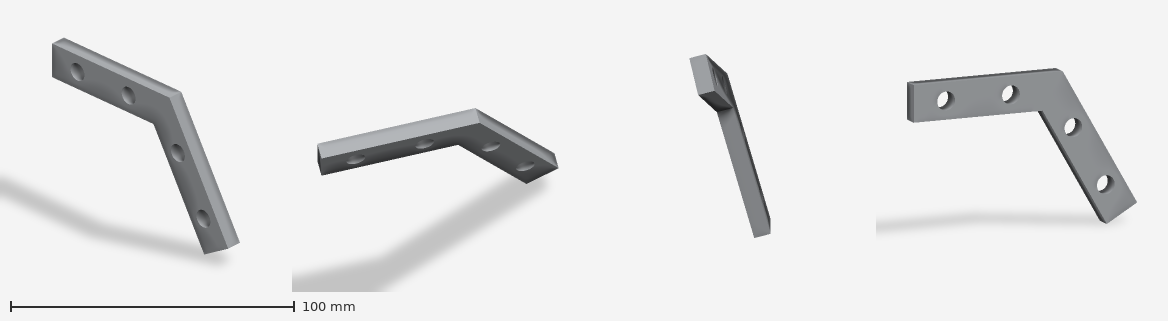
import cadquery as cq
import math

overall_length = 86.25
thickness = 6.0
arm_width = 13.5
bend_angle = 60.0
hole_diameter = 6.8
end_to_hole = 12.5
hole_spacing = 25.0

bend = math.radians(bend_angle)
arm_length = overall_length / (1 + math.cos(bend))
inner_length = arm_length - arm_width * math.tan(bend / 2)


def level_arm_point(from_end, depth):
    """Point on the level arm, measured from its free end and outer edge."""
    return (from_end, -depth)


def sloped_arm_point(from_end, depth):
    """Matching point on the sloped arm."""
    from_corner = arm_length - from_end
    x = arm_length + from_corner * math.cos(bend) - depth * math.sin(bend)
    z = -from_corner * math.sin(bend) - depth * math.cos(bend)
    return (x, z)


outline = [
    level_arm_point(0, 0),
    level_arm_point(arm_length, 0),
    sloped_arm_point(0, 0),
    sloped_arm_point(0, arm_width),
    level_arm_point(inner_length, arm_width),
    level_arm_point(0, arm_width),
]
plate = cq.Workplane("XZ").polyline(outline).close().extrude(thickness)

hole_centers = [
    arm_point(from_end, arm_width / 2)
    for arm_point in (level_arm_point, sloped_arm_point)
    for from_end in (end_to_hole, end_to_hole + hole_spacing)
]
holes = (
    cq.Workplane("XZ")
    .pushPoints(hole_centers)
    .circle(hole_diameter / 2)
    .extrude(thickness)
)

result = plate.cut(holes)